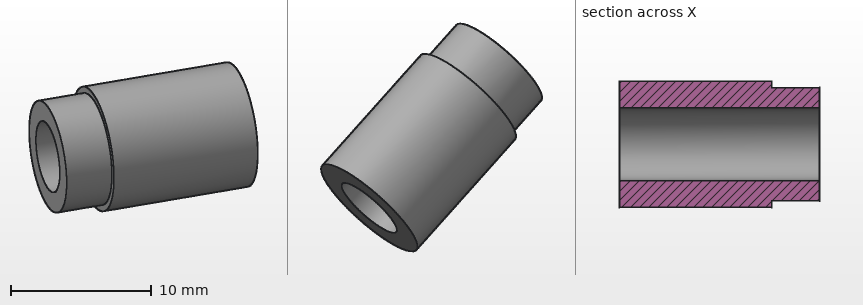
import cadquery as cq

total_length = 14.25
neck_length = 3.4
body_length = total_length - neck_length
body_diameter = 9.0
neck_diameter = 8.1
bore_diameter = 5.15

body = (
    cq.Workplane("XZ", origin=(0, total_length / 2, 0))
    .circle(body_diameter / 2)
    .extrude(body_length)
)
neck = body.faces("<Y").workplane().circle(neck_diameter / 2).extrude(neck_length)

result = neck.faces("<Y").workplane().circle(bore_diameter / 2).cutThruAll()